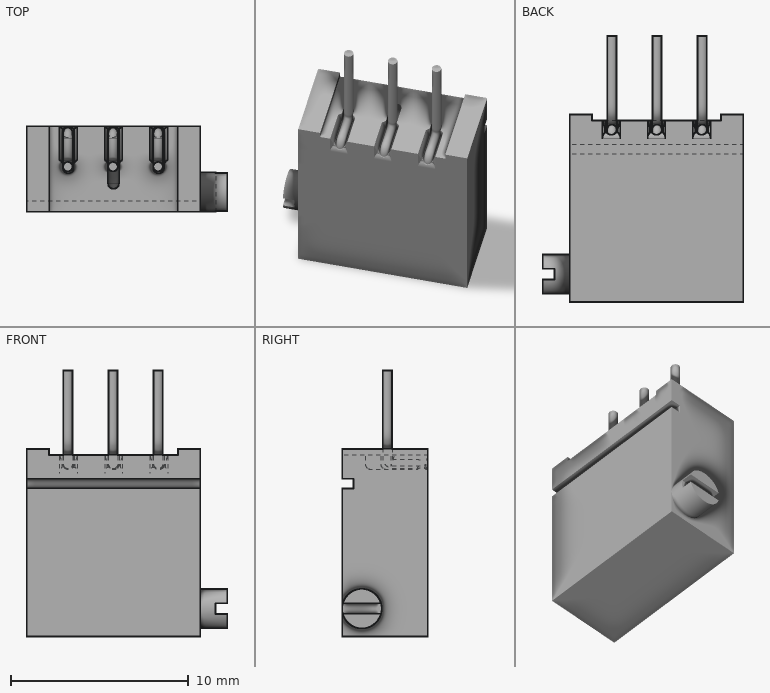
import cadquery as cq
import math

body_width = 9.78
body_depth = 4.83
body_height = 10.56
back_y = body_depth / 2
front_y = -back_y

ear_width = 1.27
ear_height = 0.33
deck_z = body_height - ear_height

groove_top_z = body_height - 1.68
groove_height = 0.54
groove_depth = 0.63

lead_pitch = 2.54
lead_count = 3
lead_radius = 0.265
lead_offset_x = -0.03
lead_bend_radius = 0.35
lead_top_z = 14.99
lead_y = back_y - 2.285
lead_back_y = back_y - 0.35
lead_run_z = deck_z - 0.5
lead_tail_length = 0.6

trough_top_width = 1.0
trough_taper = 0.18
trough_depth = 0.6
trough_front_y = back_y - 2.08

relief_depth = 0.13
relief_height = 1.0
relief_end_radius = 0.44

channel_radius = 0.31
channel_centre_y = back_y - 2.35
middle_channel_centre_y = back_y - 3.22

overall_width = 11.3
screw_diameter = 2.23
screw_length = overall_width - body_width
screw_y = front_y + screw_diameter / 2
screw_z = 1.575
screw_slot_depth = 0.67
screw_slot_width = 0.58


def make_housing():
    """Block with a lowered deck between two ears and a groove across the front."""
    housing = cq.Workplane("XY").box(body_width, body_depth, body_height, centered=(True, True, False))
    deck_cut = (
        cq.Workplane("XY", origin=(0, 0, deck_z))
        .box(body_width - 2 * ear_width, body_depth, ear_height, centered=(True, True, False))
    )
    groove = (
        cq.Workplane("XY", origin=(0, front_y, groove_top_z - groove_height))
        .box(body_width, 2 * groove_depth, groove_height, centered=(True, True, False))
    )
    return housing.cut(deck_cut).cut(groove)


def make_trough(x):
    """Pocket with sloping sides, open to the back, its front corners cut at 45 degrees."""
    half_top = trough_top_width / 2
    half_floor = half_top - trough_taper
    profile = [(-half_top, 0), (half_top, 0), (half_floor, -trough_depth), (-half_floor, -trough_depth)]
    tapered = (
        cq.Workplane("XZ", origin=(x, back_y, deck_z))
        .polyline(profile)
        .close()
        .extrude(back_y - trough_front_y)
    )
    corner_y = trough_front_y + trough_taper
    outline = [
        (x - half_top, back_y),
        (x - half_top, corner_y),
        (x - half_floor, trough_front_y),
        (x + half_floor, trough_front_y),
        (x + half_top, corner_y),
        (x + half_top, back_y),
    ]
    plan = (
        cq.Workplane("XY", origin=(0, 0, deck_z - trough_depth))
        .polyline(outline)
        .close()
        .extrude(trough_depth)
    )
    return tapered.intersect(plan)


def make_relief(x):
    """Recess in the back face with sides flaring at 45 degrees and a convex lower end."""
    half_mouth = trough_top_width / 2
    outline = [
        (x - half_mouth, back_y),
        (x + half_mouth, back_y),
        (x + half_mouth - relief_depth, back_y - relief_depth),
        (x - half_mouth + relief_depth, back_y - relief_depth),
    ]
    arc_rise = math.sqrt(relief_end_radius**2 - (relief_end_radius - relief_depth) ** 2)
    floor_z = deck_z - relief_height
    flared = (
        cq.Workplane("XY", origin=(0, 0, floor_z))
        .polyline(outline)
        .close()
        .extrude(relief_height)
    )
    lower_end = (
        cq.Workplane("YZ", origin=(x - half_mouth, back_y, floor_z))
        .radiusArc((-relief_depth, arc_rise), -relief_end_radius)
        .lineTo(-relief_depth, 0)
        .close()
        .extrude(trough_top_width)
    )
    return flared.cut(lower_end)


def make_channel(x, front_centre_y):
    """Channel along Y with a half-round floor and a rounded front end."""
    length = back_y - front_centre_y
    rise = deck_z - lead_run_z
    floor = (
        cq.Workplane("XZ", origin=(x, back_y, lead_run_z))
        .circle(channel_radius)
        .extrude(length)
    )
    floor_front = cq.Workplane("XY", origin=(x, front_centre_y, lead_run_z)).sphere(channel_radius)
    sides = (
        cq.Workplane("XY", origin=(x, front_centre_y + length / 2, lead_run_z))
        .box(2 * channel_radius, length, rise, centered=(True, True, False))
    )
    upper_front = (
        cq.Workplane("XY", origin=(x, front_centre_y, lead_run_z))
        .circle(channel_radius)
        .extrude(rise)
    )
    return sides.union(upper_front).union(floor).union(floor_front)


def make_lead(x):
    """Round wire swept along the upright, the run to the back and the tail down the back."""
    bend = lead_bend_radius
    path = (
        cq.Workplane("YZ", origin=(x, 0, 0))
        .moveTo(lead_y, lead_top_z)
        .lineTo(lead_y, lead_run_z + bend)
        .radiusArc((lead_y + bend, lead_run_z), -bend)
        .lineTo(lead_back_y - bend, lead_run_z)
        .radiusArc((lead_back_y, lead_run_z - bend), bend)
        .lineTo(lead_back_y, lead_run_z - bend - lead_tail_length)
    )
    return (
        cq.Workplane("XY", origin=(x, lead_y, lead_top_z))
        .circle(lead_radius)
        .sweep(path)
    )


def make_screw():
    """Round screw stub along X with a straight driver slot across its end."""
    face_x = body_width / 2
    screw = (
        cq.Workplane("YZ", origin=(face_x, screw_y, screw_z))
        .circle(screw_diameter / 2)
        .extrude(screw_length)
    )
    slot = (
        cq.Workplane("XY", origin=(face_x + screw_length, screw_y, screw_z))
        .box(2 * screw_slot_depth, screw_diameter, screw_slot_width)
    )
    return screw.cut(slot)


result = make_housing().union(make_screw())
middle_index = (lead_count - 1) / 2
for index in range(lead_count):
    station_x = (index - middle_index) * lead_pitch
    front_centre_y = middle_channel_centre_y if index == middle_index else channel_centre_y
    result = result.cut(make_trough(station_x))
    result = result.cut(make_relief(station_x))
    result = result.cut(make_channel(station_x, front_centre_y))
    result = result.union(make_lead(station_x + lead_offset_x))